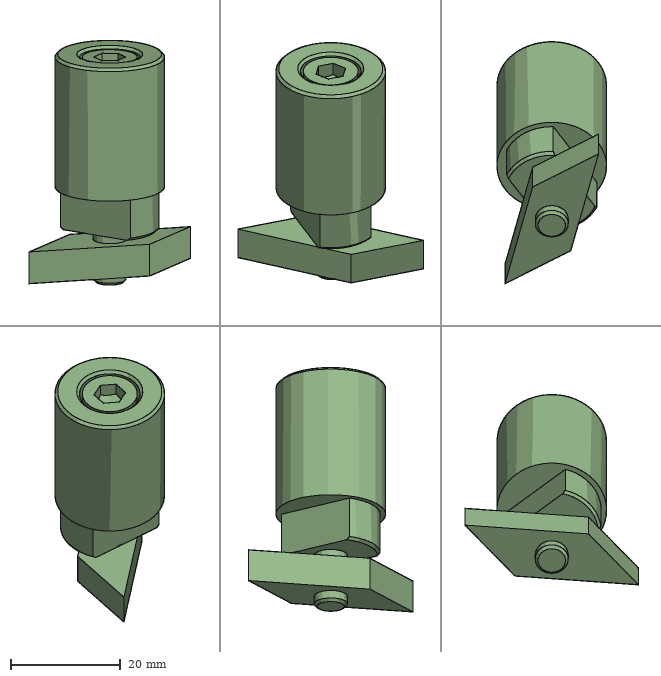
import cadquery as cq
import math

tip_length = 1.98
blade_thickness = 6.0
neck_length = 1.98
guide_height = 8.0
total_height = 43.0
blade_bottom = tip_length
guide_bottom = blade_bottom + blade_thickness + neck_length
collar_bottom = guide_bottom + guide_height

collar_diameter = 20.0
guide_diameter = 18.0
guide_width = 10.0
edge_chamfer = 0.5
bore_diameter = 11.0

head_diameter = 10.0
head_height = 6.0
head_recess = 0.5
shank_diameter = 6.0
socket_across_flats = 5.0
socket_depth = 2.32
socket_cone_angle = 120.0
head_top = total_height - head_recess
head_bottom = head_top - head_height

blade_width_x = 16.0
blade_perpendicular_width = 10.0
blade_side = blade_perpendicular_width * math.sqrt(2)


def cylinder(diameter, bottom, top):
    """Vertical cylinder on the Z axis."""
    return cq.Workplane("XY").workplane(offset=bottom).circle(diameter / 2).extrude(top - bottom)


def make_housing():
    """Collar and flatted guide, with a stepped hole for the screw."""
    collar = cylinder(collar_diameter, collar_bottom, total_height).faces(">Z").chamfer(edge_chamfer)
    guide = cylinder(guide_diameter, guide_bottom, collar_bottom).faces("<Z").chamfer(edge_chamfer)
    flats = (
        cq.Workplane("XY")
        .workplane(offset=guide_bottom)
        .rect(guide_diameter, guide_width)
        .extrude(guide_height)
    )
    bore = cylinder(bore_diameter, head_bottom, total_height)
    shank_hole = cylinder(shank_diameter, guide_bottom, head_bottom)
    housing = collar.union(guide.intersect(flats)).cut(bore).cut(shank_hole)
    mouth = cq.selectors.RadiusNthSelector(0)
    return housing.faces(">Z").edges(mouth).chamfer(edge_chamfer)


def make_socket():
    """Hexagonal socket with points along Y and a conical floor."""
    point_radius = socket_across_flats / math.sqrt(3)
    cone_depth = point_radius / math.tan(math.radians(socket_cone_angle / 2))
    hexagon = (
        cq.Workplane("XY")
        .polygon(6, 2 * point_radius)
        .extrude(-socket_depth - cone_depth)
        .rotate((0, 0, 0), (0, 0, 1), 90)
    )
    drill_profile = [(0, 0), (point_radius, 0), (point_radius, -socket_depth), (0, -socket_depth - cone_depth)]
    drill = cq.Workplane("XZ").polyline(drill_profile).close().revolve(360, (0, 0, 0), (0, 1, 0))
    return hexagon.intersect(drill).translate((0, 0, head_top))


def make_blade():
    """Parallelogram plate centred on the screw axis."""
    half_width = blade_width_x / 2
    tip_y = (blade_width_x + blade_side) / 2
    inner_y = tip_y - blade_side
    corners = [(-half_width, -tip_y), (half_width, inner_y), (half_width, tip_y), (-half_width, -inner_y)]
    return cq.Workplane("XY").workplane(offset=blade_bottom).polyline(corners).close().extrude(blade_thickness)


def make_screw():
    """Socket-head screw carrying the blade on its shank."""
    shank = cylinder(shank_diameter, 0, head_bottom).faces("<Z").chamfer(edge_chamfer)
    head = cylinder(head_diameter, head_bottom, head_top).cut(make_socket())
    return shank.union(head).union(make_blade())


housing = make_housing()
screw = make_screw()

result = cq.Compound.makeCompound([housing.val(), screw.val()])